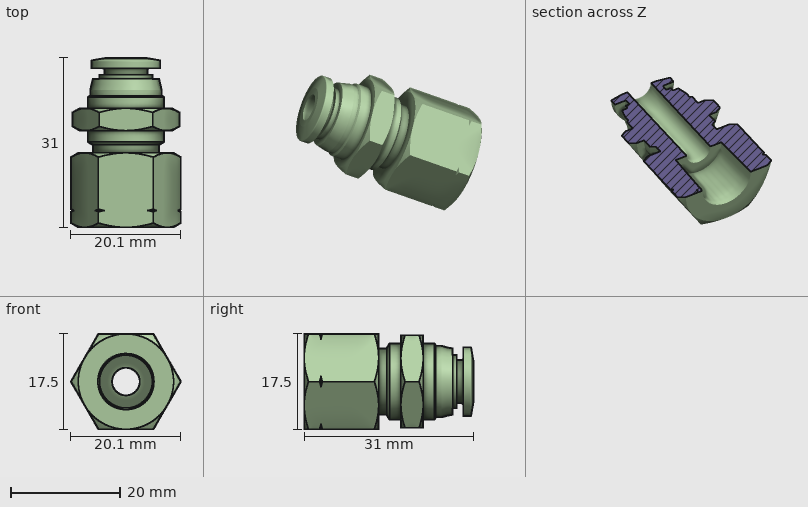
import cadquery as cq
import math

length = 31.0
end_y = length / 2

body_flats = 17.45
nut_flats = 17.0
body_hex_length = 13.6
nut_start = 9.25
nut_end = 13.3
hex_chamfer_angle = 30.0

collar_radius = 6.32
collar_edge_radius = 6.17
collar_edge_round = 0.22
collar_face_radius = 3.72
collar_neck_radius = 3.97
neck_fillet = 0.28
sleeve_radius = 4.9
taper_small_radius = 6.08
taper_large_radius = 6.57
thread_radius = 7.0
shank_radius = 6.08

cone_end = 0.43
collar_edge_end = 0.62
collar_end = 1.92
neck_end = 3.07
sleeve_end = 3.85
taper_end = 5.92
cap_end = 6.9
thread_start = 7.2
thread_end = 15.38
shank_start = 15.93

tube_radius = 2.5
socket_mouth_radius = 5.15
socket_bottom_radius = 4.85
socket_taper = 1 / 16
socket_depth = 2 * (socket_mouth_radius - socket_bottom_radius) / socket_taper

groove_distance = 3.07
groove_half_width = 0.25
groove_bottom_radius = 9.58


def revolve_about_y(profile):
    """Turn a closed (radius, y) profile about the Y axis."""
    return profile.close().revolve(360, (0, 0, 0), (0, 1, 0))


def corner_radius(flats):
    return flats / math.sqrt(3)


def chamfered_hexagon(flats, start_y, thickness):
    """Hexagon along Y, flats facing +Z and -Z, corners chamfered at both ends."""
    corner = corner_radius(flats)
    inscribed = flats / 2
    drop = (corner - inscribed) * math.tan(math.radians(hex_chamfer_angle))
    top_y = start_y + thickness
    prism = (
        cq.Workplane("XZ", origin=(0, top_y, 0))
        .polygon(6, 2 * corner)
        .extrude(thickness)
    )
    envelope = revolve_about_y(
        cq.Workplane("XY")
        .moveTo(0, start_y)
        .lineTo(inscribed, start_y)
        .lineTo(corner, start_y + drop)
        .lineTo(corner, top_y - drop)
        .lineTo(inscribed, top_y)
        .lineTo(0, top_y)
    )
    return prism.intersect(envelope)


def barrel():
    """Turned part from the collar face down to the body hexagon."""
    profile = (
        cq.Workplane("XY")
        .moveTo(0, end_y)
        .lineTo(collar_face_radius, end_y)
        .lineTo(collar_edge_radius, end_y - cone_end)
        .radiusArc((collar_radius, end_y - collar_edge_end), collar_edge_round)
        .lineTo(collar_radius, end_y - collar_end)
        .lineTo(collar_neck_radius + neck_fillet, end_y - collar_end)
        .radiusArc((collar_neck_radius, end_y - collar_end - neck_fillet), -neck_fillet)
    )
    steps = [
        (collar_neck_radius, neck_end),
        (sleeve_radius, neck_end),
        (sleeve_radius, sleeve_end),
        (taper_small_radius, sleeve_end),
        (taper_large_radius, taper_end),
        (taper_large_radius, cap_end),
        (thread_radius, thread_start),
        (thread_radius, thread_end),
        (shank_radius, shank_start),
        (shank_radius, length - body_hex_length),
        (0, length - body_hex_length),
    ]
    for radius, distance in steps:
        profile = profile.lineTo(radius, end_y - distance)
    return revolve_about_y(profile)


def corner_groove():
    """Ring whose V-shaped inner edge cuts only the hexagon corners."""
    middle_y = groove_distance - end_y
    outer = corner_radius(body_flats)
    return revolve_about_y(
        cq.Workplane("XY")
        .moveTo(groove_bottom_radius, middle_y)
        .lineTo(outer, middle_y - groove_half_width)
        .lineTo(outer, middle_y + groove_half_width)
    )


def bores():
    """Tapered socket with a smaller tube hole through to the collar face."""
    bottom_y = socket_depth - end_y
    return revolve_about_y(
        cq.Workplane("XY")
        .moveTo(0, -end_y)
        .lineTo(socket_mouth_radius, -end_y)
        .lineTo(socket_bottom_radius, bottom_y)
        .lineTo(tube_radius, bottom_y)
        .lineTo(tube_radius, end_y)
        .lineTo(0, end_y)
    )


body = chamfered_hexagon(body_flats, -end_y, body_hex_length).cut(corner_groove())
nut = chamfered_hexagon(nut_flats, end_y - nut_end, nut_end - nut_start)

result = body.union(barrel()).union(nut).cut(bores())